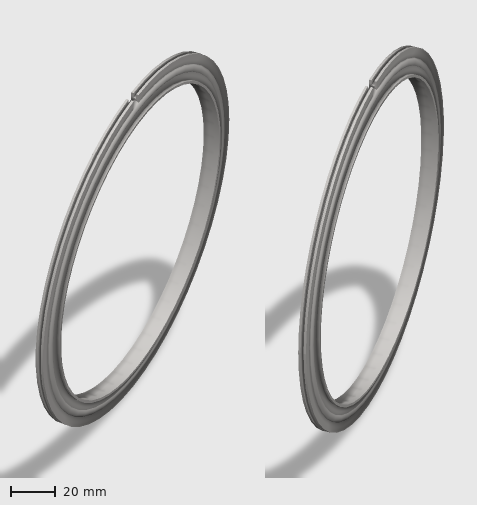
import cadquery as cq

outer_radius = 88.4
bore_radius = 150.0 / 2
lip_radius = 152.5 / 2

lip_width = 8.0
carrier_web_width = 5.0
outer_ring_width = 3.7

seal_centre_radius = 81.5
seal_section_radius = 2.8

rim_groove_width = 1.5
rim_groove_depth = 2.8

split_width = 4.6


def ring(inner_radius, ring_outer_radius, width):
    """Flat ring of rectangular section, centred on the plane X = 0."""
    return (
        cq.Workplane("YZ", origin=(-width / 2, 0, 0))
        .circle(ring_outer_radius)
        .circle(inner_radius)
        .extrude(width)
    )


def make_seal():
    """Round-section O-ring."""
    return (
        cq.Workplane("XY")
        .center(0, seal_centre_radius)
        .circle(seal_section_radius)
        .revolve(360, (0, -seal_centre_radius), (1, -seal_centre_radius))
    )


def make_carrier(seal):
    """Inner centring ring: a wide lip at the bore and a web seating the O-ring."""
    lip = ring(bore_radius, lip_radius, lip_width)
    web = ring(lip_radius, seal_centre_radius, carrier_web_width)
    return lip.union(web).cut(seal).solids()


def make_outer_ring(seal):
    """Split outer ring, grooved around its rim and seated on the O-ring."""
    body = ring(seal_centre_radius, outer_radius, outer_ring_width)
    rim_groove = ring(outer_radius - rim_groove_depth, outer_radius, rim_groove_width)
    split = cq.Workplane("XY").box(
        outer_ring_width, split_width, outer_radius, centered=(True, True, False)
    )
    return body.cut(rim_groove).cut(split).cut(seal).solids()


seal = make_seal()
carrier = make_carrier(seal)
outer_ring = make_outer_ring(seal)

result = cq.Compound.makeCompound([*carrier.vals(), *seal.vals(), *outer_ring.vals()])